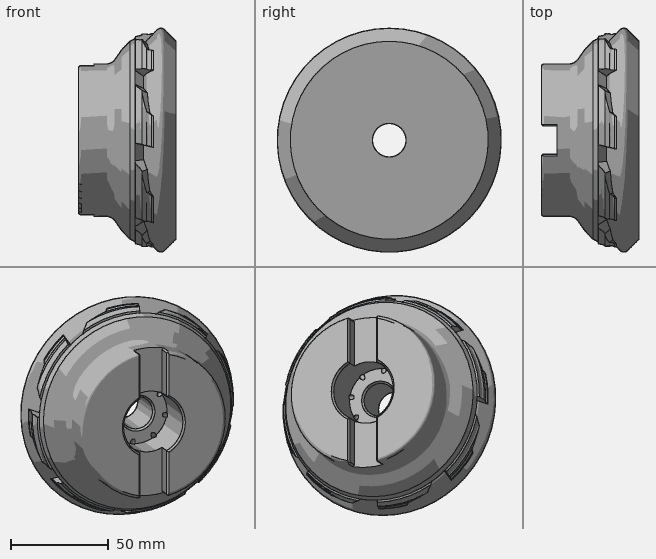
import cadquery as cq
import math

length = 50.0
shank_radius = 39.0
shank_length = 14.8
shank_edge_round = 1.5
rim_radius = 57.25
rim_x = 42.2
rim_round = 2.65
rim_apex_radius = rim_radius + rim_round * (math.sqrt(2) - 1)
rim_round_half_width = rim_round * math.sqrt(0.5)
rim_round_end_radius = rim_apex_radius - rim_round_half_width
back_face_radius = rim_apex_radius - (length - rim_x)

shank_fillet_middle = (16.9, 39.7)
shank_fillet_end = (18.5, 41.0)
shoulder_bend = (22.1, 46.2)
shoulder_end = (26.3, 50.6)
land_start = (27.3, 51.1)
land_end = (28.95, 51.95)

groove_bottom_x = 33.4
groove_bottom_radius = 48.4
groove_rear_x = 34.9
groove_rear_radius = rim_apex_radius - (rim_x - groove_rear_x)

tooth_end_angles = (4.9, 48.9, 93.9, 140.6, 184.6, 231.3, 273.9, 319.1)
tooth_end_lean = 12.5
sweep_start_offset = 6.5
tooth_root_radius = groove_bottom_radius - 2.0
tooth_front = (29.2, 53.0)
front_ramp_end = (30.7, 53.4)
front_hollow_middle = (31.8, 53.65)
crest_start = (32.6, 54.4)
crest_end = (34.9, 54.4)
rear_hollow_middle = (36.1, 54.05)
rear_crest_start = (37.3, 54.6)
rear_crest_end = (38.5, 54.6)

start_edge = ((26.0, -9.5), (32.6, -4.6), (34.9, 7.1), (38.5, 9.8))
start_frame_angle = 18.1
start_frame_radius = 54.0
start_cut_lean = 0.95
start_cut_rise = 3.0
start_cut_drop = 8.0
cut_reach = 20.0

bore_radius = 16.0
bore_depth = 26.0
bore_chamfer = 1.0
screw_hole_radius = 8.5
screw_hole_chamfer = 1.0
slot_width = 14.4
slot_depth = 8.0
slot_chamfer = 0.9
slot_overrun = 1.0
coolant_radius = 1.25
coolant_entry_radius = 15.4
coolant_offset_angle = 4.3
coolant_length = 5.0
coolant_slope = 45.0


def revolve_about_x(sketch, angle=360.0):
    return sketch.close().revolve(angle, (0, 0, 0), (1, 0, 0))


def turn(shape, angle):
    """Turn about the X axis, positive from +Z towards -Y."""
    return shape.rotate((0, 0, 0), (1, 0, 0), angle)


def make_body():
    round_middle = shank_edge_round * (1 - math.sqrt(0.5))
    outline = (
        cq.Workplane("XZ")
        .moveTo(0, 0)
        .lineTo(0, shank_radius - shank_edge_round)
        .threePointArc((round_middle, shank_radius - round_middle), (shank_edge_round, shank_radius))
        .lineTo(shank_length, shank_radius)
        .threePointArc(shank_fillet_middle, shank_fillet_end)
        .lineTo(*shoulder_bend)
        .lineTo(*shoulder_end)
        .lineTo(*land_start)
        .lineTo(*land_end)
        .lineTo(groove_bottom_x, groove_bottom_radius)
        .lineTo(groove_rear_x, groove_rear_radius)
        .lineTo(rim_x - rim_round_half_width, rim_round_end_radius)
        .threePointArc((rim_x, rim_radius), (rim_x + rim_round_half_width, rim_round_end_radius))
        .lineTo(length, back_face_radius)
        .lineTo(length, 0)
    )
    return revolve_about_x(outline)


def make_tooth_ring(angle):
    """Stepped tooth section, rooted inside the body, swept from +Z."""
    outline = (
        cq.Workplane("XZ")
        .moveTo(land_end[0], tooth_root_radius)
        .lineTo(*land_end)
        .lineTo(*tooth_front)
        .lineTo(*front_ramp_end)
        .threePointArc(front_hollow_middle, crest_start)
        .lineTo(*crest_end)
        .threePointArc(rear_hollow_middle, rear_crest_start)
        .lineTo(*rear_crest_end)
        .lineTo(rear_crest_end[0], tooth_root_radius)
    )
    return revolve_about_x(outline, angle)


def make_end_trim():
    """Tilted slab that removes everything beyond the end face of a tooth."""
    end_x, end_radius = rear_crest_end
    return (
        cq.Workplane("XY")
        .box(2 * cut_reach, cut_reach, 2 * cut_reach)
        .translate((0, -cut_reach / 2, 0))
        .rotate((0, 0, 0), (0, 0, 1), -tooth_end_lean)
        .translate((end_x, 0, end_radius))
    )


def make_start_trim():
    """Leaning prism that removes the stepped start of a tooth."""
    first_x, first_arc = start_edge[0]
    last_x, last_arc = start_edge[-1]
    edge = [(x, -arc) for x, arc in start_edge]
    corners = edge + [
        (last_x + cut_reach, -last_arc),
        (last_x + cut_reach, -first_arc + cut_reach),
        (first_x - cut_reach, -first_arc + cut_reach),
        (first_x - cut_reach, -first_arc),
    ]

    def section(height):
        shift = start_cut_lean * (start_frame_radius - height)
        points = [cq.Vector(x + shift, y, height) for x, y in corners]
        return cq.Wire.makePolygon(points, close=True)

    top = section(start_frame_radius + start_cut_rise)
    bottom = section(start_frame_radius - start_cut_drop)
    return cq.Workplane(cq.Solid.makeLoft([top, bottom], True))


def make_tooth(previous_end, end):
    sweep_start = previous_end + sweep_start_offset
    ring = turn(make_tooth_ring(end - sweep_start), sweep_start)
    end_trim = turn(make_end_trim(), end)
    start_trim = turn(make_start_trim(), previous_end + start_frame_angle)
    return ring.cut(end_trim).cut(start_trim)


def make_bore():
    outline = (
        cq.Workplane("XZ")
        .moveTo(0, 0)
        .lineTo(0, bore_radius + bore_chamfer)
        .lineTo(bore_chamfer, bore_radius)
        .lineTo(bore_depth, bore_radius)
        .lineTo(bore_depth, screw_hole_radius + screw_hole_chamfer)
        .lineTo(bore_depth + screw_hole_chamfer, screw_hole_radius)
        .lineTo(length, screw_hole_radius)
        .lineTo(length, 0)
    )
    return revolve_about_x(outline)


def make_key_slot():
    half_width = slot_width / 2
    profile = (
        cq.Workplane("XY")
        .moveTo(0, half_width + slot_chamfer)
        .lineTo(slot_chamfer, half_width)
        .lineTo(slot_depth, half_width)
        .lineTo(slot_depth, -half_width)
        .lineTo(slot_chamfer, -half_width)
        .lineTo(0, -half_width - slot_chamfer)
        .close()
    )
    slot = profile.extrude(shank_radius + slot_overrun, both=True)
    chamfer_start = math.sqrt(shank_radius**2 - (half_width + slot_chamfer) ** 2) - slot_chamfer
    flare_height = 2 * slot_chamfer
    flare_half_width = half_width + flare_height
    flare_outline = (
        cq.Workplane("YZ")
        .moveTo(-half_width, chamfer_start)
        .lineTo(half_width, chamfer_start)
        .lineTo(flare_half_width, chamfer_start + flare_height)
        .lineTo(-flare_half_width, chamfer_start + flare_height)
        .close()
    )
    flare = flare_outline.extrude(slot_depth)
    return slot.union(flare).union(turn(flare, 180.0))


def make_coolant_hole():
    """Blind hole in the floor of the bore, sloping outwards."""
    slope = math.radians(coolant_slope)
    direction = cq.Vector(math.cos(slope), 0, math.sin(slope))
    entry = cq.Vector(bore_depth, 0, coolant_entry_radius)
    lead_in = 2 * coolant_radius
    start = entry - direction * lead_in
    hole = cq.Solid.makeCylinder(coolant_radius, coolant_length + lead_in, start, direction)
    return turn(cq.Workplane(hole), coolant_offset_angle)


result = make_body()
previous_end_angle = tooth_end_angles[-1] - 360.0
for end_angle in tooth_end_angles:
    result = result.union(make_tooth(previous_end_angle, end_angle))
    previous_end_angle = end_angle
result = result.cut(make_bore()).cut(make_key_slot())
coolant_hole = make_coolant_hole()
for end_angle in tooth_end_angles:
    result = result.cut(turn(coolant_hole, end_angle))